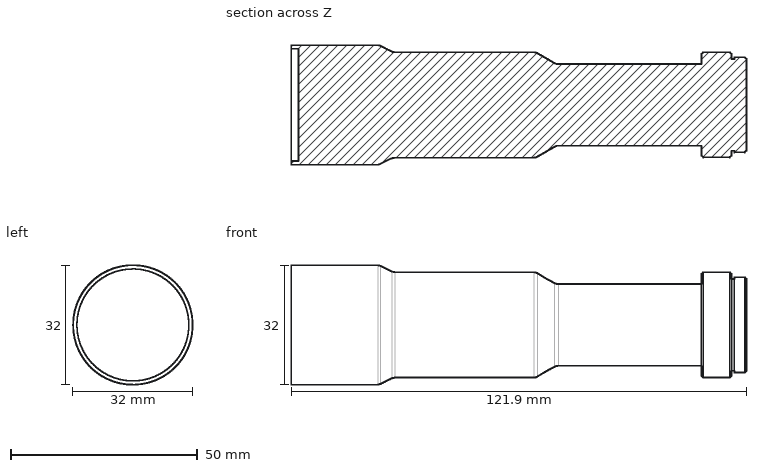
import cadquery as cq

length = 121.9
head_end = 23.5
barrel_start = 27.3
barrel_end = 65.5
neck_start = 71.0
collar_start = 109.8
collar_end = 117.9
rim_start = 118.6

head_diameter = 32.0
head_radius = head_diameter / 2
barrel_radius = 14.1
neck_radius = 11.0
collar_radius = barrel_radius
rim_radius = 12.8
groove_radius = 12.3

recess_radius = 15.0
recess_depth = 2.0

taper_blend = 2.0
head_blend = 1.5
edge_chamfer = 0.5


def circles_at(x, radius):
    """Selector for the circular edges of a given radius at a given station."""
    margin = 0.1
    reach = radius + margin
    return cq.selectors.BoxSelector(
        (x - margin, -reach, -reach), (x + margin, reach, reach), boundingbox=True
    )


def turned_body():
    """Solid of revolution about X, with sharp edges."""
    return (
        cq.Workplane("XY")
        .polyline([
            (0, 0),
            (0, head_radius),
            (head_end, head_radius),
            (barrel_start, barrel_radius),
            (barrel_end, barrel_radius),
            (neck_start, neck_radius),
            (collar_start, neck_radius),
            (collar_start, collar_radius),
            (collar_end, collar_radius),
            (collar_end, groove_radius),
            (rim_start, groove_radius),
            (rim_start, rim_radius),
            (length, rim_radius),
            (length, 0),
        ])
        .close()
        .revolve(360, (0, 0, 0), (1, 0, 0))
    )


def blend_tapers(body):
    """Round the edges where each taper meets its neighbouring cylinders."""
    blends = [
        (head_end, head_radius, head_blend),
        (barrel_start, barrel_radius, taper_blend),
        (barrel_end, barrel_radius, taper_blend),
        (neck_start, neck_radius, taper_blend),
    ]
    for x, radius, blend in blends:
        body = body.edges(circles_at(x, radius)).fillet(blend)
    return body


def edge_break(x, radius, inward):
    """Ring that cuts a chamfer; inward is the X direction into the material."""
    return (
        cq.Workplane("XY")
        .moveTo(x, radius)
        .lineTo(x + inward * edge_chamfer, radius)
        .lineTo(x, radius - edge_chamfer)
        .close()
        .revolve(360, (0, 0, 0), (1, 0, 0))
    )


body = blend_tapers(turned_body())

for x, radius, inward in [
    (collar_start, collar_radius, 1),
    (collar_end, collar_radius, -1),
    (length, rim_radius, -1),
]:
    body = body.cut(edge_break(x, radius, inward))

recess = cq.Workplane("YZ").circle(recess_radius).extrude(recess_depth)
result = body.cut(recess)